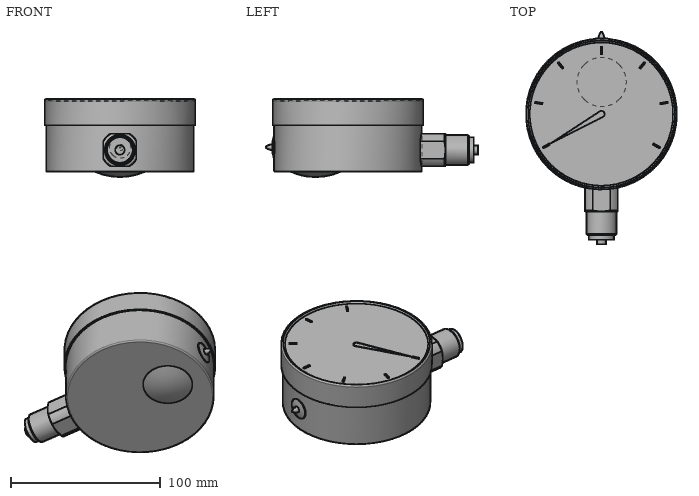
import cadquery as cq
import math

OVERALL_LENGTH = 142.0

BEZEL_RADIUS = 101.0 / 2
CASE_RADIUS = 99.0 / 2
HOUSING_HEIGHT = 48.7
BEZEL_HEIGHT = 17.6
TOP_EDGE_FILLET = 1.1
BACK_EDGE_FILLET = 1.0
RIM_RADIUS = 49.1
DIAL_RADIUS = 47.9
DIAL_DEPTH = 1.0
DIAL_Z = HOUSING_HEIGHT - DIAL_DEPTH

ENGRAVING_DEPTH = 0.4
MARK_COUNT = 7
MARK_STEP_ANGLE = 40
FIRST_MARK_ANGLE = -30
MARK_INNER_RADIUS = 40.0
MARK_LENGTH = 5.0
MARK_WIDTH = 1.0
POINTER_ANGLE = 210
POINTER_LENGTH = 39.0
POINTER_HUB_RADIUS = 2.1

CONNECTOR_Z = 14.6
FLATS_WIDTH = 22.0
FLATS_CORNER_RADIUS = 12.5
FLATS_CHAMFER_LENGTH = 1.0
FLATS_END = 65.3
SHANK_RADIUS = 20.3 / 2
SHANK_END = 81.0
SHANK_CHAMFER = 1.0
COLLAR_RADIUS = 8.5
COLLAR_END = 84.0
TIP_RADIUS = 3.1
TIP_END = 87.0

VENT_Z = 16.5
VENT_END = OVERALL_LENGTH - TIP_END
CAP_RADIUS = 7.1
CAP_RIM_Y = 49.7
CAP_TOP_Y = 50.7
CAP_MIDDLE_Y = 50.4
NIPPLE_RADIUS = 2.1
NIPPLE_TIP_RADIUS = 0.4
NIPPLE_BULGE = 0.3

DOME_Y = 21.6
DOME_RADIUS = 16.5
DOME_HEIGHT = 3.5


def make_mark(angle):
    """Cutter for one radial scale mark at the given angle from +X."""
    return (
        cq.Workplane("XY", origin=(0, 0, DIAL_Z - ENGRAVING_DEPTH))
        .center(MARK_INNER_RADIUS + MARK_LENGTH / 2, 0)
        .rect(MARK_LENGTH, MARK_WIDTH)
        .extrude(ENGRAVING_DEPTH)
        .rotate((0, 0, 0), (0, 0, 1), angle)
    )


def make_pointer():
    """Cutter for the pointer: a round hub with two straight sides tangent to it that meet at the tip."""
    tangent_x = POINTER_HUB_RADIUS**2 / POINTER_LENGTH
    tangent_y = math.sqrt(POINTER_HUB_RADIUS**2 - tangent_x**2)
    return (
        cq.Workplane("XY", origin=(0, 0, DIAL_Z - ENGRAVING_DEPTH))
        .moveTo(POINTER_LENGTH, 0)
        .lineTo(tangent_x, tangent_y)
        .threePointArc((-POINTER_HUB_RADIUS, 0), (tangent_x, -tangent_y))
        .close()
        .extrude(ENGRAVING_DEPTH)
        .rotate((0, 0, 0), (0, 0, 1), POINTER_ANGLE)
    )


def make_housing():
    """Case, bezel and engraved dial."""
    case = cq.Workplane("XY").circle(CASE_RADIUS).extrude(HOUSING_HEIGHT - BEZEL_HEIGHT)
    case = case.faces("<Z").edges().fillet(BACK_EDGE_FILLET)
    bezel = (
        cq.Workplane("XY", origin=(0, 0, HOUSING_HEIGHT - BEZEL_HEIGHT))
        .circle(BEZEL_RADIUS)
        .extrude(BEZEL_HEIGHT)
        .faces(">Z").edges().fillet(TOP_EDGE_FILLET)
    )
    dial_recess = (
        cq.Workplane("XY", origin=(0, 0, DIAL_Z))
        .circle(DIAL_RADIUS)
        .workplane(offset=DIAL_DEPTH)
        .circle(RIM_RADIUS)
        .loft(ruled=True)
    )
    body = case.union(bezel).cut(dial_recess).cut(make_pointer())
    for index in range(MARK_COUNT):
        body = body.cut(make_mark(FIRST_MARK_ANGLE + index * MARK_STEP_ANGLE))
    return body


def make_case_cylinder():
    """Plain cylinder of the case, which trims the bodies that sit against its side."""
    return cq.Workplane("XY").circle(CASE_RADIUS).extrude(HOUSING_HEIGHT)


def make_connector():
    """Square with rounded corners, then a shank, a collar and a tip."""
    turned = (
        cq.Workplane("XY")
        .lineTo(FLATS_CORNER_RADIUS, 0)
        .lineTo(FLATS_CORNER_RADIUS, -(FLATS_END - FLATS_CHAMFER_LENGTH))
        .lineTo(SHANK_RADIUS, -FLATS_END)
        .lineTo(SHANK_RADIUS, -(SHANK_END - SHANK_CHAMFER))
        .lineTo(SHANK_RADIUS - SHANK_CHAMFER, -SHANK_END)
        .lineTo(COLLAR_RADIUS, -SHANK_END)
        .lineTo(COLLAR_RADIUS, -COLLAR_END)
        .lineTo(TIP_RADIUS, -COLLAR_END)
        .lineTo(TIP_RADIUS, -TIP_END)
        .lineTo(0, -TIP_END)
        .close()
        .revolve(360, (0, 0, 0), (0, 1, 0))
    )
    flats = cq.Workplane("XZ").rect(FLATS_WIDTH, FLATS_WIDTH).extrude(TIP_END)
    return turned.intersect(flats).translate((0, 0, CONNECTOR_Z)).cut(make_case_cylinder())


def make_vent_plug():
    """Low cap and nipple turned about Y, with the base shaped to the case."""
    nipple_middle_radius = (NIPPLE_RADIUS + NIPPLE_TIP_RADIUS) / 2 + NIPPLE_BULGE
    nipple_middle_y = (CAP_TOP_Y + VENT_END) / 2
    cap_middle_radius = (CAP_RADIUS + NIPPLE_RADIUS) / 2
    return (
        cq.Workplane("XY")
        .lineTo(CAP_RADIUS, 0)
        .lineTo(CAP_RADIUS, CAP_RIM_Y)
        .threePointArc((cap_middle_radius, CAP_MIDDLE_Y), (NIPPLE_RADIUS, CAP_TOP_Y))
        .threePointArc((nipple_middle_radius, nipple_middle_y), (NIPPLE_TIP_RADIUS, VENT_END))
        .lineTo(0, VENT_END)
        .close()
        .revolve(360, (0, 0, 0), (0, 1, 0))
        .translate((0, 0, VENT_Z))
        .cut(make_case_cylinder())
    )


def make_blow_out_disc():
    """Spherical dome standing on the back face."""
    sphere_radius = (DOME_RADIUS**2 + DOME_HEIGHT**2) / (2 * DOME_HEIGHT)
    arc_radius = DOME_RADIUS / 2
    arc_z = sphere_radius - DOME_HEIGHT - math.sqrt(sphere_radius**2 - arc_radius**2)
    return (
        cq.Workplane("YZ")
        .lineTo(DOME_RADIUS, 0)
        .threePointArc((arc_radius, arc_z), (0, -DOME_HEIGHT))
        .close()
        .revolve(360, (0, 0, 0), (0, 1, 0))
        .translate((0, DOME_Y, 0))
    )


housing = make_housing()
connector = make_connector()
vent_plug = make_vent_plug()
blow_out_disc = make_blow_out_disc()

result = cq.Compound.makeCompound(
    [housing.val(), connector.val(), vent_plug.val(), blow_out_disc.val()]
)